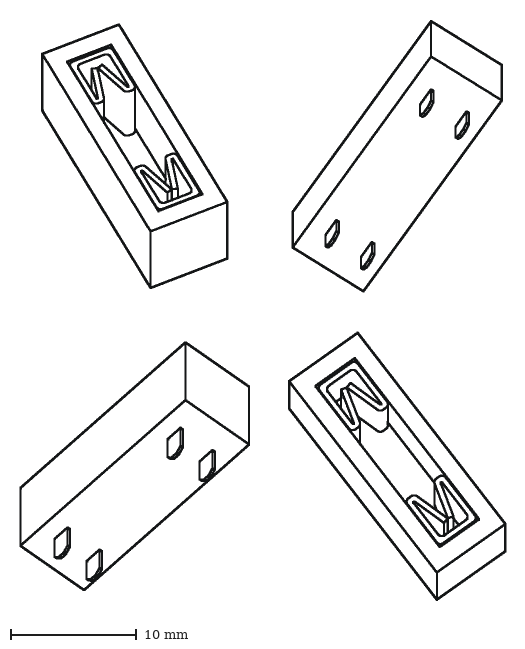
import cadquery as cq
import math

HOUSING_LENGTH = 19.8
HOUSING_WIDTH = 6.8
HOUSING_HEIGHT = 7.4
CAVITY_LENGTH = 16.67
CAVITY_WIDTH = 3.9
FLOOR_THICKNESS = (HOUSING_LENGTH - CAVITY_LENGTH) / 2

CLIP_END_CLEARANCE = 0.12
CLIP_SIDE_CLEARANCE = 0.05
CLIP_TOP_CLEARANCE = 0.1
CLIP_LENGTH = 4.65
STRIP_THICKNESS = 0.48
BEND_RADIUS = 0.38
ARM_REACH = 3.2
ARM_SLOPE_ANGLE = 16.3
TIP_GAP = 0.02

OVERALL_HEIGHT = 10.2
PIN_LENGTH = OVERALL_HEIGHT - HOUSING_HEIGHT
PIN_WIDTH = 1.55
PIN_THICKNESS = 0.24
PIN_CHAMFER = 0.48
PIN_X = 6.77
PIN_Y = 1.7


def make_housing():
    body = cq.Workplane("XY").box(
        HOUSING_LENGTH, HOUSING_WIDTH, HOUSING_HEIGHT, centered=(True, True, False)
    )
    cavity = (
        cq.Workplane("XY")
        .workplane(offset=FLOOR_THICKNESS)
        .rect(CAVITY_LENGTH, CAVITY_WIDTH)
        .extrude(HOUSING_HEIGHT - FLOOR_THICKNESS)
    )
    return body.cut(cavity)


def make_left_clip():
    """Clip at the -X end: a back, two legs and two arms folded back inwards."""
    back_x = -CAVITY_LENGTH / 2 + CLIP_END_CLEARANCE
    nose_x = back_x + CLIP_LENGTH
    leg_y = CAVITY_WIDTH / 2 - CLIP_SIDE_CLEARANCE
    inner_back_x = back_x + STRIP_THICKNESS
    inner_nose_x = nose_x - STRIP_THICKNESS
    inner_leg_y = leg_y - STRIP_THICKNESS

    angle = math.radians(ARM_SLOPE_ANGLE)
    slope = math.tan(angle)
    tip_x = nose_x - ARM_REACH
    tip_y = TIP_GAP / 2
    nose_y = tip_y + ARM_REACH * slope
    outer_tip_x = tip_x - STRIP_THICKNESS * math.sin(angle)
    outer_tip_y = tip_y + STRIP_THICKNESS * math.cos(angle)
    fold_y = outer_tip_y + (inner_nose_x - outer_tip_x) * slope

    half_outline = [
        (back_x, leg_y),
        (nose_x, leg_y),
        (nose_x, nose_y),
        (tip_x, tip_y),
        (outer_tip_x, outer_tip_y),
        (inner_nose_x, fold_y),
        (inner_nose_x, inner_leg_y),
        (inner_back_x, inner_leg_y),
    ]
    mirrored_half = [(x, -y) for x, y in reversed(half_outline)]
    height = HOUSING_HEIGHT - CLIP_TOP_CLEARANCE - FLOOR_THICKNESS
    strip = (
        cq.Workplane("XY")
        .workplane(offset=FLOOR_THICKNESS)
        .polyline(half_outline + mirrored_half)
        .close()
        .extrude(height)
    )

    bends = [
        (back_x, leg_y),
        (nose_x, leg_y),
        (nose_x, nose_y),
        (inner_back_x, inner_leg_y),
    ]
    mid_height = FLOOR_THICKNESS + height / 2
    for x, y in bends:
        for side in (1, -1):
            corner = cq.selectors.NearestToPointSelector((x, side * y, mid_height))
            strip = strip.edges("|Z").edges(corner).fillet(BEND_RADIUS)
    return strip


def make_pin(x, y):
    """Blade hanging from the housing underside, centred on (x, y)."""
    return (
        cq.Workplane("XY")
        .box(PIN_WIDTH, PIN_THICKNESS, PIN_LENGTH)
        .edges("|Y and <Z")
        .chamfer(PIN_CHAMFER)
        .translate((x, y, -PIN_LENGTH / 2))
    )


housing = make_housing()

clips = []
for turn in (0, 180):
    clip = make_left_clip().rotate((0, 0, 0), (0, 0, 1), turn)
    clips.append(clip.val())

pins = []
for pin_x in (-PIN_X, PIN_X):
    for pin_y in (-PIN_Y, PIN_Y):
        pins.append(make_pin(pin_x, pin_y).val())

result = cq.Compound.makeCompound([housing.val(), *clips, *pins])